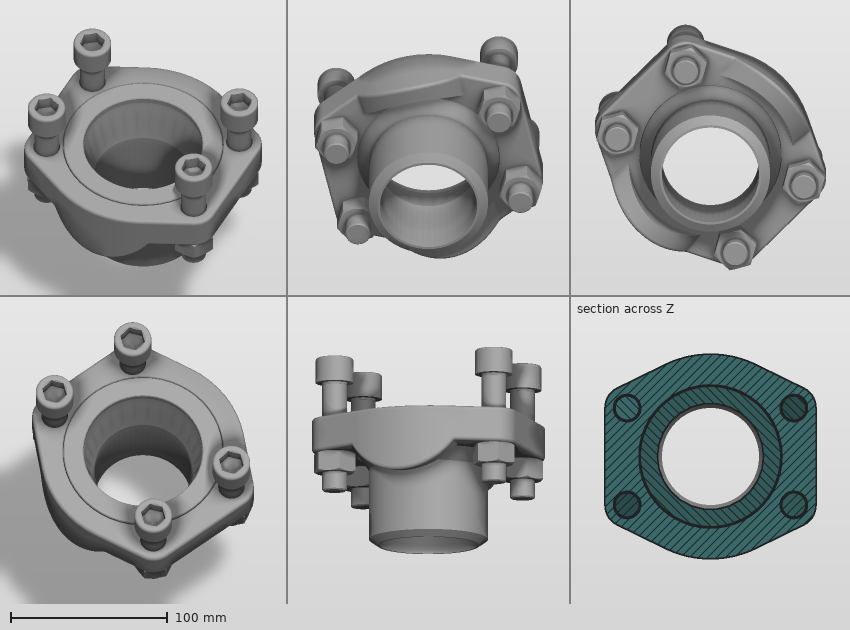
import cadquery as cq
import math


half_width = 67.5
side_radius = 65.5
bolt_x = 53.2
bolt_y = 30.9
corner_radius = half_width - bolt_x
plate_bottom = 57.2
plate_top = 79.4
flange_edge_fillet = 2.0
bolt_hole_diameter = 17.0

skirt_bottom = 38.1
skirt_axis_height = 79.4
skirt_slope = 7.0
skirt_inner_diameter = 108.0
skirt_inner_draft = 4.0
skirt_inner_clearance = 1.4

recess_diameter = 102.5
recess_depth = 8.1
flange_bore_diameter = 91.0
rim_chamfer = 0.5

pipe_diameter = 76.1
pipe_bore_diameter = 62.0
pipe_top = 79.9
mouth_diameter = 76.0
mouth_depth = 4.2
funnel_bottom = 49.1
collar_diameter = 101.7
hub_diameter = 90.0
hub_bottom = 48.9
hub_cone_angle = 37.0
weld_end_diameter = 65.1
weld_bevel_height = 3.8

screw_top = 118.7
screw_bottom = 32.7
head_diameter = 24.0
head_height = 16.0
head_fillet = 1.6
shank_diameter = 15.8
neck_diameter = 16.0
neck_height = 1.2
tip_diameter = 14.3
socket_width = 14.0
socket_depth = 9.2
socket_cone_angle = 60.0
socket_turn = 39.0

nut_width = 24.0
nut_height = 13.0
nut_chamfer_angle = 30.0

bolt_points = [(sx * bolt_x, sy * bolt_y) for sx in (-1, 1) for sy in (-1, 1)]


def tangent_angle():
    """Direction, from +X, in which a slanted side touches both a corner arc and a round side."""
    bolt_distance = math.hypot(bolt_x, bolt_y)
    return math.atan2(bolt_y, bolt_x) + math.acos((side_radius - corner_radius) / bolt_distance)


def flange_outline(bottom):
    """Closed outline of the flange at the given height."""
    normal = tangent_angle()
    side_x = side_radius * math.cos(normal)
    side_y = side_radius * math.sin(normal)
    corner_x = bolt_x + corner_radius * math.cos(normal)
    corner_y = bolt_y + corner_radius * math.sin(normal)
    mid_x = bolt_x + corner_radius * math.cos(normal / 2)
    mid_y = bolt_y + corner_radius * math.sin(normal / 2)
    return (
        cq.Workplane("XY", origin=(0, 0, bottom))
        .moveTo(half_width, -bolt_y)
        .lineTo(half_width, bolt_y)
        .threePointArc((mid_x, mid_y), (corner_x, corner_y))
        .lineTo(side_x, side_y)
        .threePointArc((0, side_radius), (-side_x, side_y))
        .lineTo(-corner_x, corner_y)
        .threePointArc((-mid_x, mid_y), (-half_width, bolt_y))
        .lineTo(-half_width, -bolt_y)
        .threePointArc((-mid_x, -mid_y), (-corner_x, -corner_y))
        .lineTo(-side_x, -side_y)
        .threePointArc((0, -side_radius), (side_x, -side_y))
        .lineTo(corner_x, -corner_y)
        .threePointArc((mid_x, -mid_y), (half_width, -bolt_y))
        .close()
    )


def skirt_cylinder(side):
    """Cylinder that rounds one skirt; its axis drops from the middle towards the round side."""
    slope = math.radians(skirt_slope)
    radius = (skirt_axis_height - skirt_bottom) * math.cos(slope)
    length = 2 * half_width
    return (
        cq.Workplane("XZ")
        .circle(radius)
        .extrude(-side * length)
        .rotate((0, 0, 0), (1, 0, 0), -side * skirt_slope)
        .translate((0, 0, skirt_axis_height + side_radius * math.tan(slope)))
    )


def is_lower_outline(edge):
    """True for an edge that runs along the outline at the underside of the flange."""
    middle = edge.positionAt(0.5)
    runs_upright = edge.geomType() == "LINE" and abs(edge.tangentAt(0.5).z) > 0.9
    on_underside = middle.z < plate_bottom + 0.01
    outside = math.hypot(middle.x, middle.y) > skirt_inner_diameter / 2 + 1.4
    return on_underside and outside and not runs_upright


def make_flange():
    plate = flange_outline(plate_bottom).extrude(plate_top - plate_bottom)
    column = flange_outline(0).extrude(plate_top)
    half = cq.Workplane("XY").box(2 * half_width, half_width, plate_top, centered=(True, False, False))
    body = plate
    for side, half_space in ((1, half), (-1, half.mirror("XZ"))):
        body = body.union(column.intersect(half_space).intersect(skirt_cylinder(side)))
    inner_start = skirt_bottom - skirt_inner_clearance
    inner = (
        cq.Workplane("XY", origin=(0, 0, inner_start))
        .circle(skirt_inner_diameter / 2)
        .extrude(plate_bottom - inner_start, taper=skirt_inner_draft)
    )
    body = body.cut(inner)

    body = body.faces(">Z").edges().fillet(flange_edge_fillet)
    lower_edges = [edge for edge in body.edges().vals() if is_lower_outline(edge)]
    body = body.newObject(lower_edges).fillet(flange_edge_fillet)

    bore = cq.Workplane("XY").circle(flange_bore_diameter / 2).extrude(plate_top)
    recess = (
        cq.Workplane("XY", origin=(0, 0, plate_top - recess_depth))
        .circle(recess_diameter / 2)
        .extrude(recess_depth)
        .union(
            cq.Workplane("XY", origin=(0, 0, plate_top - rim_chamfer))
            .circle(recess_diameter / 2)
            .workplane(offset=rim_chamfer)
            .circle(recess_diameter / 2 + rim_chamfer)
            .loft(ruled=True)
        )
    )
    holes = (
        cq.Workplane("XY").pushPoints(bolt_points).circle(bolt_hole_diameter / 2).extrude(plate_top)
    )
    return body.cut(bore).cut(recess).cut(holes)


def make_pipe():
    radius = pipe_diameter / 2
    bore_radius = pipe_bore_diameter / 2
    mouth_radius = mouth_diameter / 2
    collar_radius = collar_diameter / 2
    hub_radius = hub_diameter / 2
    shoulder = plate_top - recess_depth
    hub_cone_top = hub_bottom + (hub_radius - radius) / math.tan(math.radians(hub_cone_angle))
    return (
        cq.Workplane("XZ")
        .moveTo(bore_radius, 0)
        .lineTo(weld_end_diameter / 2, 0)
        .lineTo(radius, weld_bevel_height)
        .lineTo(radius, hub_bottom)
        .lineTo(hub_radius, hub_cone_top)
        .lineTo(hub_radius, shoulder)
        .lineTo(collar_radius, shoulder)
        .lineTo(collar_radius, pipe_top - rim_chamfer)
        .lineTo(collar_radius - rim_chamfer, pipe_top)
        .lineTo(mouth_radius + rim_chamfer, pipe_top)
        .lineTo(mouth_radius, pipe_top - rim_chamfer)
        .lineTo(mouth_radius, pipe_top - mouth_depth)
        .lineTo(bore_radius, funnel_bottom)
        .close()
        .revolve(360, (0, 0, 0), (0, 1, 0))
    )


def cone_to_point(radius, top, depth):
    """Cone about Z with its base at the given height and its point below."""
    return (
        cq.Workplane("XZ")
        .moveTo(0, top - depth)
        .lineTo(radius, top)
        .lineTo(0, top)
        .close()
        .revolve(360, (0, 0, 0), (0, 1, 0))
    )


def make_socket():
    """Hexagonal socket with a conical bottom and a conical lead-in."""
    cone_slope = math.tan(math.radians(socket_cone_angle))
    flat_radius = socket_width / 2
    point_radius = flat_radius / math.cos(math.pi / 6)
    floor = screw_top - socket_depth
    hexagon = (
        cq.Workplane("XY", origin=(0, 0, floor))
        .polygon(6, 2 * point_radius)
        .extrude(socket_depth)
        .rotate((0, 0, 0), (0, 0, 1), socket_turn)
    )
    bottom_cone = cone_to_point(flat_radius, floor, flat_radius / cone_slope)
    lead_in = cone_to_point(point_radius, screw_top, point_radius / cone_slope)
    return hexagon.union(bottom_cone).union(lead_in)


def make_screw(x, y):
    head_bottom = screw_top - head_height
    tip_chamfer = (shank_diameter - tip_diameter) / 2
    neck_step = (neck_diameter - shank_diameter) / 2
    body = (
        cq.Workplane("XZ")
        .moveTo(0, screw_bottom)
        .lineTo(tip_diameter / 2, screw_bottom)
        .lineTo(shank_diameter / 2, screw_bottom + tip_chamfer)
        .lineTo(shank_diameter / 2, head_bottom - neck_height - neck_step)
        .lineTo(neck_diameter / 2, head_bottom - neck_height)
        .lineTo(neck_diameter / 2, head_bottom)
        .lineTo(head_diameter / 2, head_bottom)
        .lineTo(head_diameter / 2, screw_top)
        .lineTo(0, screw_top)
        .close()
        .revolve(360, (0, 0, 0), (0, 1, 0))
        .faces(">Z")
        .edges()
        .fillet(head_fillet)
    )
    return body.cut(make_socket()).translate((x, y, 0))


def make_nut(x, y):
    flat_radius = nut_width / 2
    outer_radius = flat_radius / math.cos(math.pi / 6)
    chamfer_drop = (outer_radius - flat_radius) * math.tan(math.radians(nut_chamfer_angle))
    hexagon = cq.Workplane("XY").polygon(6, 2 * outer_radius).extrude(nut_height)
    chamfered_blank = (
        cq.Workplane("XZ")
        .lineTo(flat_radius, 0)
        .lineTo(outer_radius, chamfer_drop)
        .lineTo(outer_radius, nut_height - chamfer_drop)
        .lineTo(flat_radius, nut_height)
        .lineTo(0, nut_height)
        .close()
        .revolve(360, (0, 0, 0), (0, 1, 0))
    )
    hole = cq.Workplane("XY").circle(shank_diameter / 2).extrude(nut_height)
    nut = hexagon.intersect(chamfered_blank).cut(hole)
    return nut.translate((x, y, plate_bottom - nut_height))


flange = make_flange()
pipe = make_pipe()
screws = [make_screw(x, y) for x, y in bolt_points]
nuts = [make_nut(x, y) for x, y in bolt_points]

result = cq.Compound.makeCompound(
    [flange.val(), pipe.val(), *[screw.val() for screw in screws], *[nut.val() for nut in nuts]]
)